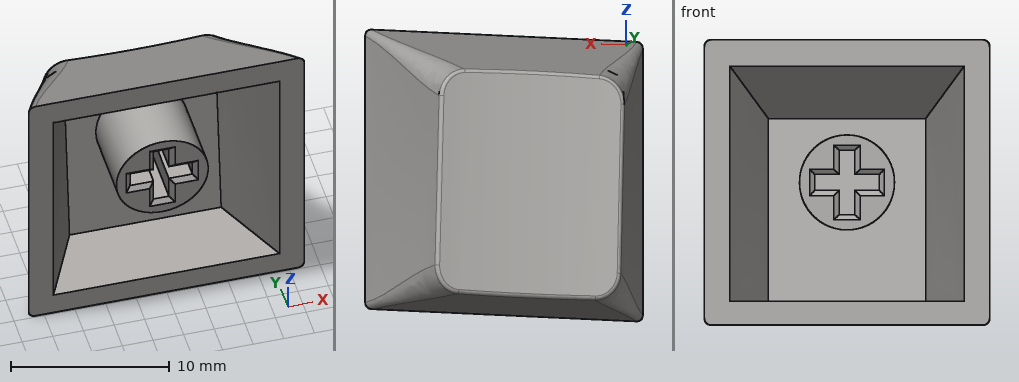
import cadquery as cq
import math

RIM_SIZE = 18.0
RIM_CORNER_RADIUS = 0.43

CROWN_HALF_WIDTH = 5.9
CROWN_TOP = (8.06, 4.93)
CROWN_BOTTOM = (6.62, -9.0)
CROWN_CORNER_RADIUS = 1.71
BODY_SECTIONS = 7

DISH_RADIUS = 34.2
DISH_DROP = 0.6
CROWN_EDGE_RADIUS = 0.25

CAVITY_HALF_WIDTH = 7.38
CAVITY_TOP = 7.33
CAVITY_BOTTOM = -7.49
FLOOR_HALF_WIDTH = 4.95
FLOOR_TOP = (6.43, 4.01)
FLOOR_BOTTOM = (5.11, CAVITY_BOTTOM)

STEM_DIAMETER = 6.0
STEM_RECESS = 1.0
SOCKET_LENGTH = 4.07
SOCKET_ARM_WIDTH = 1.0
SOCKET_CHAMFER_WIDTH = 0.32
SOCKET_CHAMFER_DEPTH = 0.27


def between(start, end, share):
    """Value part of the way from start to end."""
    return start + (end - start) * share


def section_plane(lower, upper):
    """Plane whose local X is global X and local Y runs from lower to upper, given as (Y, Z)."""
    middle_y = (lower[0] + upper[0]) / 2
    middle_z = (lower[1] + upper[1]) / 2
    normal = (0, lower[1] - upper[1], upper[0] - lower[0])
    return cq.Plane(origin=(0, middle_y, middle_z), xDir=(1, 0, 0), normal=normal)


def rounded_rectangle(plane, width, height, radius):
    """Closed wire with a straight side and a quarter arc for each corner."""
    half_width = width / 2
    half_height = height / 2
    arc_inset = radius * (1 - math.cos(math.radians(45)))
    side = half_width - radius
    end = half_height - radius
    return (
        cq.Workplane(plane)
        .moveTo(-side, -half_height)
        .lineTo(side, -half_height)
        .threePointArc((half_width - arc_inset, -half_height + arc_inset), (half_width, -end))
        .lineTo(half_width, end)
        .threePointArc((half_width - arc_inset, half_height - arc_inset), (side, half_height))
        .lineTo(-side, half_height)
        .threePointArc((-half_width + arc_inset, half_height - arc_inset), (-half_width, end))
        .lineTo(-half_width, -end)
        .threePointArc((-half_width + arc_inset, -half_height + arc_inset), (-side, -half_height))
        .close()
        .val()
    )


def body_section(share):
    half_rim = RIM_SIZE / 2
    upper = (CROWN_TOP[0] * share, between(half_rim, CROWN_TOP[1], share))
    lower = (CROWN_BOTTOM[0] * share, between(-half_rim, CROWN_BOTTOM[1], share))
    growth = share * share * (3 - 2 * share)
    radius = between(RIM_CORNER_RADIUS, CROWN_CORNER_RADIUS, growth)
    width = 2 * between(half_rim, CROWN_HALF_WIDTH, share)
    height = math.dist(lower, upper)
    return rounded_rectangle(section_plane(lower, upper), width, height, radius)


def make_body():
    sections = [body_section(index / (BODY_SECTIONS - 1)) for index in range(BODY_SECTIONS)]
    return cq.Workplane(cq.Solid.makeLoft(sections))


def cut_dish(body):
    """Cut a shallow cylindrical trough running up the crown."""
    plane = section_plane(CROWN_BOTTOM, CROWN_TOP)
    trough_length = 2 * RIM_SIZE
    axis_plane = cq.Plane(
        origin=plane.toWorldCoords((0, 0, DISH_DROP - DISH_RADIUS)),
        xDir=(1, 0, 0),
        normal=plane.yDir,
    )
    trough = cq.Workplane(axis_plane).circle(DISH_RADIUS).extrude(trough_length / 2, both=True)
    return body.cut(trough)


def round_crown_edge(body):
    return body.faces("%CYLINDER").edges().fillet(CROWN_EDGE_RADIUS)


def make_cavity():
    """Tapered pocket from a rectangular mouth to a tilted floor."""
    mouth_bottom = (0, CAVITY_BOTTOM)
    mouth_top = (0, CAVITY_TOP)
    mouth = cq.Workplane(section_plane(mouth_bottom, mouth_top)).rect(
        2 * CAVITY_HALF_WIDTH, CAVITY_TOP - CAVITY_BOTTOM
    )
    floor = cq.Workplane(section_plane(FLOOR_BOTTOM, FLOOR_TOP)).rect(
        2 * FLOOR_HALF_WIDTH, math.dist(FLOOR_BOTTOM, FLOOR_TOP)
    )
    return cq.Workplane(cq.Solid.makeLoft([mouth.wires().val(), floor.wires().val()], True))


def stem_face():
    return cq.Workplane("XZ", origin=(0, STEM_RECESS, 0))


def make_stem():
    """Round post reaching past the tilted cavity floor behind it."""
    return stem_face().circle(STEM_DIAMETER / 2).extrude(STEM_RECESS - FLOOR_TOP[0])


def make_socket():
    """Cross-shaped socket reaching the cavity floor, with a chamfered mouth."""
    depth = FLOOR_TOP[0] - STEM_RECESS
    mouth_growth = 2 * SOCKET_CHAMFER_WIDTH
    socket = cq.Workplane()
    for length, width in (
        (SOCKET_LENGTH, SOCKET_ARM_WIDTH),
        (SOCKET_ARM_WIDTH, SOCKET_LENGTH),
    ):
        arm = stem_face().rect(length, width).extrude(-depth)
        mouth = (
            stem_face()
            .rect(length + mouth_growth, width + mouth_growth)
            .workplane(offset=-SOCKET_CHAMFER_DEPTH)
            .rect(length, width)
            .loft(ruled=True)
        )
        socket = socket.add(arm).add(mouth)
    return socket.combine()


cavity = make_cavity()
stem = make_stem().cut(make_socket())
result = round_crown_edge(cut_dish(make_body())).cut(cavity.cut(stem))